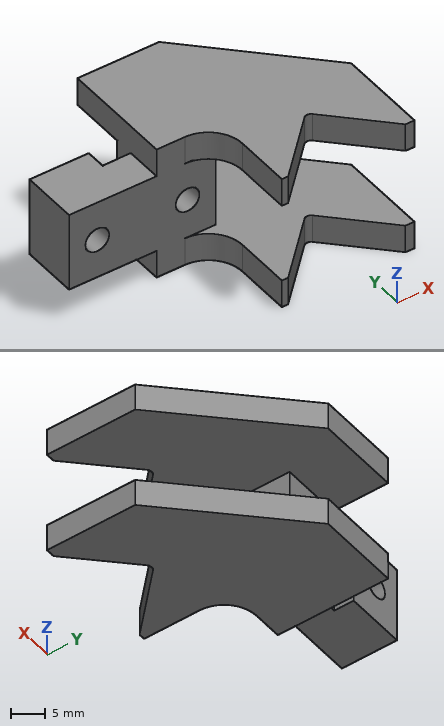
import cadquery as cq
import math

LENGTH = 50.0
WIDTH = 36.0
HEIGHT = 24.0
PLATE_THICKNESS = 5.0

BLOCK_LENGTH = 26.0
BLOCK_FRONT_Y = 16.0
BLOCK_DEPTH = 10.0
BLOCK_HEIGHT = HEIGHT - 2 * PLATE_THICKNESS
GROOVE_START_X = 10.5
GROOVE_DEPTH = 3.5

HOLE_DIAMETER = 4.2
HOLE_FIRST_X = 5.0
HOLE_SPACING = 16.0

PLATE_LEFT_X = 15.5
JAW_LEFT_X = 26.5
INNER_RADIUS = 6.0
CORNER_CHAMFER = 20.0

NOTCH_CENTER_X = 38.0
NOTCH_MOUTH = 20.8
NOTCH_RADIUS = 1.0


def make_block():
    """Block with a vertical groove in its back, ending flush with the plate edges."""
    back_y = BLOCK_FRONT_Y + BLOCK_DEPTH
    groove_y = back_y - GROOVE_DEPTH
    outline = [
        (0, BLOCK_FRONT_Y),
        (BLOCK_LENGTH, BLOCK_FRONT_Y),
        (BLOCK_LENGTH, back_y),
        (PLATE_LEFT_X, back_y),
        (PLATE_LEFT_X, groove_y),
        (GROOVE_START_X, groove_y),
        (GROOVE_START_X, back_y),
        (0, back_y),
    ]
    block = cq.Workplane("XY").workplane(offset=PLATE_THICKNESS)
    return block.polyline(outline).close().extrude(BLOCK_HEIGHT)


def make_plate(bottom_z):
    """Jaw plate with a rounded inner corner, a cut-off outer corner and a V notch."""
    half_mouth = NOTCH_MOUTH / 2
    apex_y = half_mouth
    arc_center_y = apex_y - NOTCH_RADIUS * math.sqrt(2)
    tangent_offset = NOTCH_RADIUS / math.sqrt(2)
    tangent_y = arc_center_y + tangent_offset
    arc_mid = INNER_RADIUS * (1 - 1 / math.sqrt(2))
    plate = (
        cq.Workplane("XY")
        .workplane(offset=bottom_z)
        .moveTo(PLATE_LEFT_X, BLOCK_FRONT_Y)
        .lineTo(JAW_LEFT_X - INNER_RADIUS, BLOCK_FRONT_Y)
        .threePointArc(
            (JAW_LEFT_X - arc_mid, BLOCK_FRONT_Y - arc_mid),
            (JAW_LEFT_X, BLOCK_FRONT_Y - INNER_RADIUS),
        )
        .lineTo(JAW_LEFT_X, 0)
        .lineTo(NOTCH_CENTER_X - half_mouth, 0)
        .lineTo(NOTCH_CENTER_X - tangent_offset, tangent_y)
        .threePointArc(
            (NOTCH_CENTER_X, arc_center_y + NOTCH_RADIUS),
            (NOTCH_CENTER_X + tangent_offset, tangent_y),
        )
        .lineTo(NOTCH_CENTER_X + half_mouth, 0)
        .lineTo(LENGTH, 0)
        .lineTo(LENGTH, WIDTH - CORNER_CHAMFER)
        .lineTo(LENGTH - CORNER_CHAMFER, WIDTH)
        .lineTo(PLATE_LEFT_X, WIDTH)
        .close()
    )
    return plate.extrude(PLATE_THICKNESS)


def make_cross_hole(x):
    """Hole cutter running along Y through the block at mid height."""
    return (
        cq.Workplane("XZ")
        .center(x, HEIGHT / 2)
        .circle(HOLE_DIAMETER / 2)
        .extrude(-WIDTH)
    )


result = make_block()
for plate_z in (0, HEIGHT - PLATE_THICKNESS):
    result = result.union(make_plate(plate_z))
for hole_x in (HOLE_FIRST_X, HOLE_FIRST_X + HOLE_SPACING):
    result = result.cut(make_cross_hole(hole_x))